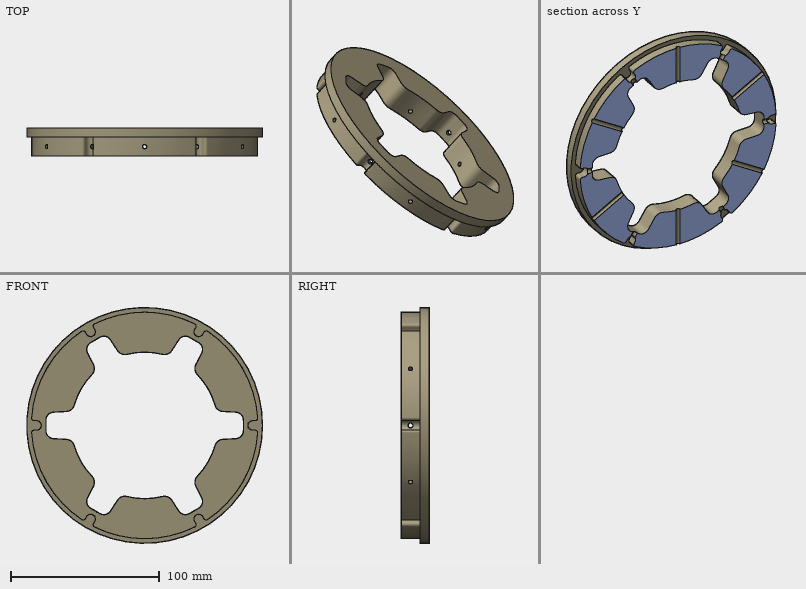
import cadquery as cq
import math

rim_radius = 79.4
rim_thickness = 6.4
body_radius = 76.2
body_thickness = 12.7
total_thickness = body_thickness + rim_thickness

slot_count = 6
slot_pitch = 360 / slot_count
bore_radius = 49.2
slot_reach = 66.4
slot_end_width = 17.1
slot_wall_taper = 3.0
slot_end_fillet = 5.2
slot_mouth_fillet = 6.0

notch_width = 6.4
notch_reach = 69.5
notch_mouth_fillet = 1.7

hole_height = body_thickness / 2
notch_hole_diameter = 3.2
lobe_hole_diameter = 2.7

radius_tolerance = 0.02


def front_plane():
    """XZ plane at Y = 0 with its normal along +Y."""
    return cq.Workplane("XZ").workplane(invert=True)


def disc(radius, thickness):
    return front_plane().circle(radius).extrude(thickness)


def around_axis(shape, start_angle=0):
    """Copies of a shape at every slot pitch about the Y axis."""
    angles = [start_angle + i * slot_pitch for i in range(slot_count)]
    return [shape.rotate((0, 0, 0), (0, 1, 0), angle) for angle in angles]


def fillet_at_radius(solid, corner_radius, fillet_radius):
    """Round the edges along Y that lie at a given distance from the axis."""

    def is_corner(edge):
        middle = edge.Center()
        return abs(math.hypot(middle.x, middle.z) - corner_radius) < radius_tolerance

    corners = [edge for edge in solid.edges("|Y").vals() if is_corner(edge)]
    return solid.newObject(corners).fillet(fillet_radius)


def slot():
    """Slot along +X that widens from its flat end to the axis."""
    end_half = slot_end_width / 2
    axis_half = end_half + slot_reach * math.tan(math.radians(slot_wall_taper))
    outline = [
        (0, -axis_half),
        (slot_reach, -end_half),
        (slot_reach, end_half),
        (0, axis_half),
    ]
    return front_plane().polyline(outline).close().extrude(total_thickness)


def slotted_bore():
    """Solid that fills the bore and all of its slots."""
    bore = disc(bore_radius, total_thickness)
    for cutter in around_axis(slot()):
        bore = bore.union(cutter)
    end_corner_radius = math.hypot(slot_reach, slot_end_width / 2)
    bore = fillet_at_radius(bore, end_corner_radius, slot_end_fillet)
    return fillet_at_radius(bore, bore_radius, slot_mouth_fillet)


def notch():
    """Notch along +X with a half-round bottom, open to the outside."""
    half_width = notch_width / 2
    arc_center = notch_reach + half_width
    return (
        front_plane()
        .moveTo(arc_center, -half_width)
        .lineTo(rim_radius, -half_width)
        .lineTo(rim_radius, half_width)
        .lineTo(arc_center, half_width)
        .threePointArc((notch_reach, 0), (arc_center, -half_width))
        .close()
        .extrude(body_thickness)
    )


def notched_body():
    body = disc(body_radius, body_thickness)
    for cutter in around_axis(notch()):
        body = body.cut(cutter)
    return fillet_at_radius(body, body_radius, notch_mouth_fillet)


def radial_hole(diameter):
    """Pin along +X from the axis to beyond the body."""
    return cq.Workplane("YZ").center(hole_height, 0).circle(diameter / 2).extrude(rim_radius)


rim = disc(rim_radius, rim_thickness).translate((0, body_thickness, 0))
result = notched_body().union(rim).cut(slotted_bore())

notch_holes = around_axis(radial_hole(notch_hole_diameter))
lobe_holes = around_axis(radial_hole(lobe_hole_diameter), slot_pitch / 2)
for hole in notch_holes + lobe_holes:
    result = result.cut(hole)